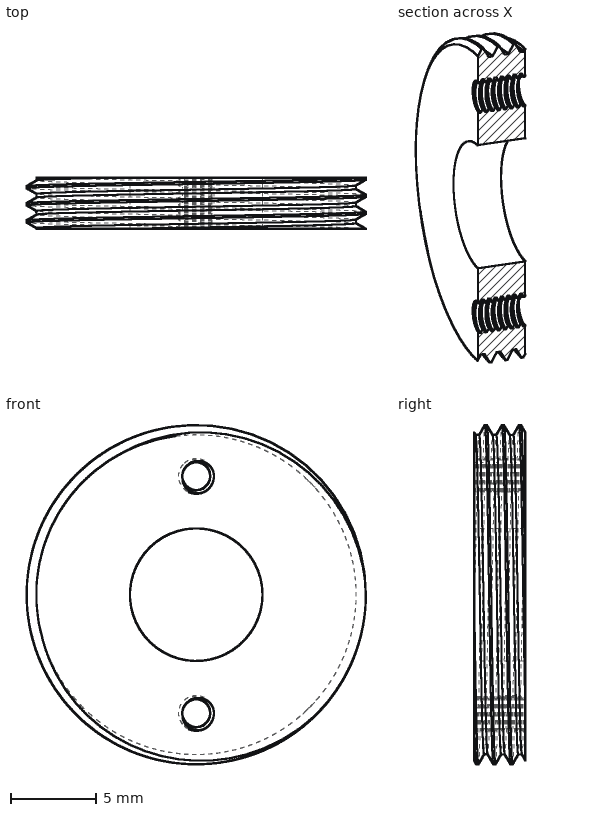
import cadquery as cq
import math

THICKNESS = 3.0
BORE_DIAMETER = 7.75

RIM_MAJOR_DIAMETER = 19.88
RIM_MINOR_DIAMETER = 18.74
RIM_PITCH = 1.0

TAP_SPACING = 13.88
TAP_MAJOR_DIAMETER = 2.07
TAP_MINOR_DIAMETER = 1.62
TAP_PITCH = 0.4

FLANK_SLOPE = math.tan(math.radians(30))
CREST_FRACTION = 1 / 8
GROOVE_OVERLAP = 0.03
GROOVE_LEAD_TURNS = 2
GROOVE_EXTRA_TURNS = 3
BLANK_OVERRUN = 5.0


def helical_groove(pitch, root_diameter, crest_diameter):
    """Solid filling a thread groove along Z, overrunning both faces of the disc.

    The root may lie inside the crest (external thread) or outside it (internal thread).
    On the +X side a crest starts level with the back face.
    """
    root_radius = root_diameter / 2
    depth = abs(crest_diameter - root_diameter) / 2
    outward = math.copysign(1, crest_diameter - root_diameter)
    mouth_radius = root_radius + outward * (depth + GROOVE_OVERLAP)

    crest_width = CREST_FRACTION * pitch
    half_root = (pitch - crest_width) / 2 - depth * FLANK_SLOPE
    half_mouth = half_root + (depth + GROOVE_OVERLAP) * FLANK_SLOPE

    start = (crest_width + pitch) / 2 - GROOVE_LEAD_TURNS * pitch
    turns = math.ceil(THICKNESS / pitch) + GROOVE_EXTRA_TURNS
    path = cq.Wire.makeHelix(pitch, turns * pitch, root_radius, center=cq.Vector(0, 0, start))
    profile = cq.Workplane("XZ").polyline(
        [
            (root_radius, start - half_root),
            (mouth_radius, start - half_mouth),
            (mouth_radius, start + half_mouth),
            (root_radius, start + half_root),
        ]
    ).close()
    return profile.sweep(cq.Workplane(path), isFrenet=True)


def threading_blank(diameter):
    """Cylinder longer than the groove, so that the groove ends inside it and the trim removes both ends."""
    blank = cq.Workplane("XY").circle(diameter / 2).extrude(THICKNESS + 2 * BLANK_OVERRUN)
    return blank.translate((0, 0, -BLANK_OVERRUN))


def trim_to_thickness(body):
    slab_side = 2 * RIM_MAJOR_DIAMETER
    slab = cq.Workplane("XY").rect(slab_side, slab_side).extrude(THICKNESS)
    return body.intersect(slab)


def threaded_disc():
    """Disc standing on its back face, with the thread groove cut into its rim."""
    groove = helical_groove(RIM_PITCH, RIM_MINOR_DIAMETER, RIM_MAJOR_DIAMETER)
    return trim_to_thickness(threading_blank(RIM_MAJOR_DIAMETER).cut(groove))


def bore():
    return cq.Workplane("XY").circle(BORE_DIAMETER / 2).extrude(THICKNESS)


def tapped_hole():
    """Space inside one tapped hole: the minor cylinder joined with its thread groove."""
    groove = helical_groove(TAP_PITCH, TAP_MAJOR_DIAMETER, TAP_MINOR_DIAMETER)
    return trim_to_thickness(threading_blank(TAP_MINOR_DIAMETER).union(groove))


body = threaded_disc().cut(bore())
hole = tapped_hole()
for side in (-1, 1):
    body = body.cut(hole.translate((0, side * TAP_SPACING / 2, 0)))

result = body.rotate((0, 0, 0), (1, 0, 0), 90).solids()